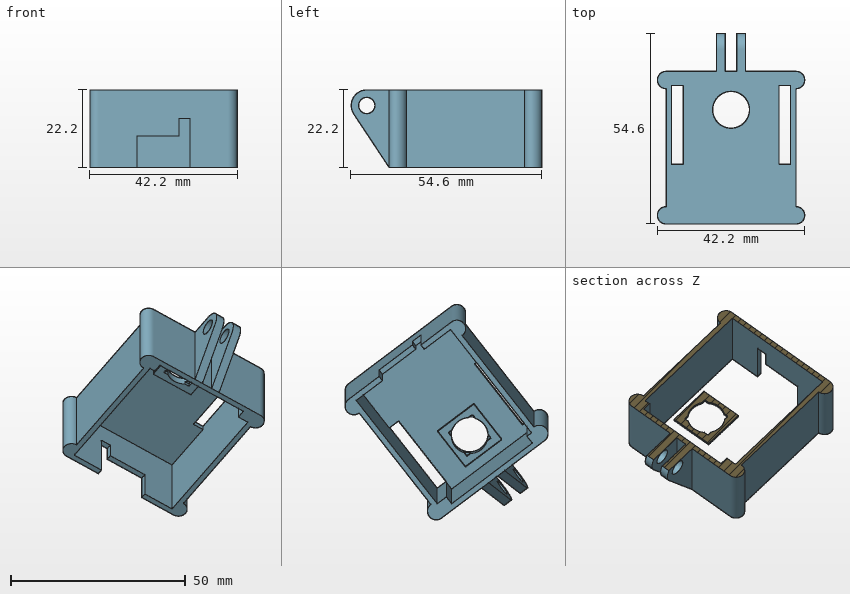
import cadquery as cq
import math

overall_width = 42.2
overall_length = 54.6
height = 22.2
body_length = 43.7

post_radius = 2.5
wall = 1.6
roof = 1.6
body_width = overall_width - 2 * post_radius
cavity_half_width = body_width / 2 - wall
cavity_back = body_length - wall

slot_width = 3.3
slot_length = 22.5
slot_back = body_length - 4.1
slot_center_x = cavity_half_width - slot_width / 2

left_block_width = slot_width
right_block_width = 1.65

window_diameter = 10.5
window_y = body_length - 11.0
seat_size = 8.6
seat_depth = 1.1
seat_frame_size = 13.1

opening_half_width = 7.55
step_x = 4.5
low_opening_height = 9.05
high_opening_height = 14.05

lug_thickness = 2.55
lug_gap = 3.2
lug_radius = 4.5
pin_diameter = 4.6
pivot_y = overall_length - lug_radius
pivot_z = height - lug_radius


def box(x_min, x_max, y_min, y_max, z_min, z_max):
    """Box between the given limits."""
    size = (x_max - x_min, y_max - y_min, z_max - z_min)
    return cq.Workplane("XY").box(*size, centered=False).translate((x_min, y_min, z_min))


def make_shell():
    """Rectangular cover with a round post at each corner, hollowed from below."""
    half_width = body_width / 2
    shell = box(-half_width, half_width, 0, body_length, 0, height)
    post_rows = (post_radius, body_length - post_radius)
    post_centers = [(x, y) for x in (-half_width, half_width) for y in post_rows]
    posts = cq.Workplane("XY").pushPoints(post_centers).circle(post_radius).extrude(height)
    cavity = box(-cavity_half_width, cavity_half_width, wall, cavity_back, 0, height - roof)
    return shell.union(posts).cut(cavity)


def make_corner_blocks():
    """Full-height blocks between the back wall and the ends of the slots."""
    left_inner = -cavity_half_width + left_block_width
    right_inner = cavity_half_width - right_block_width
    left = box(-cavity_half_width, left_inner, slot_back, cavity_back, 0, height - roof)
    right = box(right_inner, cavity_half_width, slot_back, cavity_back, 0, height - roof)
    return left.union(right)


def make_seat_frame():
    """Square frame under the roof, centred on the window."""
    frame = cq.Workplane("XY").rect(seat_frame_size, seat_frame_size).rect(seat_size, seat_size)
    return frame.extrude(seat_depth).translate((0, window_y, height - roof - seat_depth))


def make_slots():
    """Pair of strap slots through the roof."""
    slot_centers = [(side * slot_center_x, slot_back - slot_length / 2) for side in (-1, 1)]
    slots = cq.Workplane("XY").workplane(offset=height - roof).pushPoints(slot_centers)
    return slots.rect(slot_width, slot_length).extrude(roof)


def make_window():
    """Round window through the roof and the seat frame."""
    depth = roof + seat_depth
    window = cq.Workplane("XY").circle(window_diameter / 2).extrude(depth)
    return window.translate((0, window_y, height - depth))


def make_front_opening():
    """Stepped opening through the front wall, open at the bottom."""
    low = box(-opening_half_width, step_x, 0, wall, 0, low_opening_height)
    high = box(step_x, opening_half_width, 0, wall, 0, high_opening_height)
    return low.union(high)


def make_lug(x_min):
    """Lug with a round nose and a lower edge tangent to it from the body's bottom edge."""
    run = pivot_y - body_length
    distance = math.hypot(run, pivot_z)
    tangent_angle = math.atan2(-pivot_z, -run) + math.acos(lug_radius / distance)
    tangent_y = pivot_y + lug_radius * math.cos(tangent_angle)
    tangent_z = pivot_z + lug_radius * math.sin(tangent_angle)
    lug = (
        cq.Workplane("YZ")
        .moveTo(cavity_back, 0)
        .lineTo(body_length, 0)
        .lineTo(tangent_y, tangent_z)
        .threePointArc((overall_length, pivot_z), (pivot_y, height))
        .lineTo(cavity_back, height)
        .close()
        .extrude(lug_thickness)
    )
    pin_hole = cq.Workplane("YZ").center(pivot_y, pivot_z).circle(pin_diameter / 2).extrude(lug_thickness)
    return lug.cut(pin_hole).translate((x_min, 0, 0))


result = make_shell().union(make_corner_blocks()).union(make_seat_frame())
result = result.cut(make_slots()).cut(make_window()).cut(make_front_opening())
for lug_start in (-lug_gap / 2 - lug_thickness, lug_gap / 2):
    result = result.union(make_lug(lug_start))